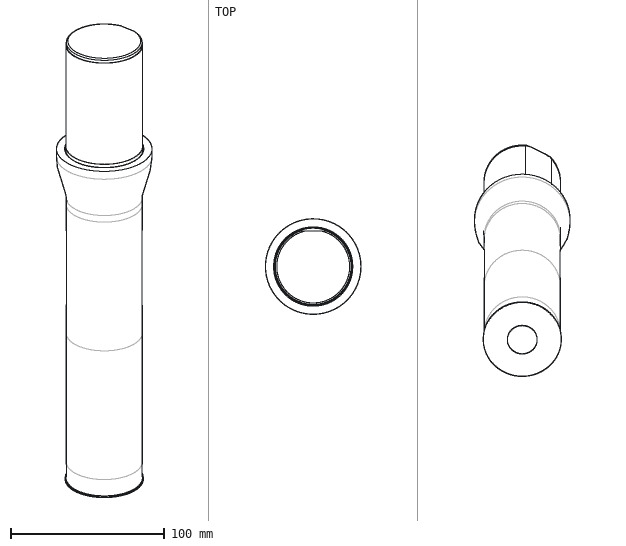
import cadquery as cq

collar_top = 245.5
collar_band_bottom = 239.5
flare_bottom = 209.3
neck_bottom = 204.5
grip_bottom = 109.2
foot_top = 14.0
flange_top = 2.0
flange_bottom = 1.0

grip_diameter = 49.7
collar_diameter = 62.5
flange_diameter = 51.0
boss_diameter = 19.5
waist_inset = 0.15
flare_upper_point = (29.5, 228.0)
flare_lower_point = (25.7, 214.5)
socket_chamfer = 0.5

shank_top = 325.0
shank_diameter = 50.0
base_ring_diameter = 50.5
base_ring_top = 247.3
tip_diameter = 49.5
tip_bottom = 322.0
tip_chamfer = 1.0
flat_bottom = 249.3
flat_offset = 23.0
shank_bottom = collar_band_bottom


def cylinder(diameter, bottom, top):
    """Vertical cylinder on the Z axis between two heights."""
    return cq.Workplane("XY", origin=(0, 0, bottom)).circle(diameter / 2).extrude(top - bottom)


def make_handle():
    """Turned grip with a bell-shaped collar, a slim foot and a socket for the shank."""
    grip_radius = grip_diameter / 2
    waist_radius = grip_radius - waist_inset
    collar_radius = collar_diameter / 2
    flange_radius = flange_diameter / 2
    boss_radius = boss_diameter / 2
    socket_radius = base_ring_diameter / 2
    profile = (
        cq.Workplane("XZ")
        .lineTo(boss_radius, 0)
        .lineTo(boss_radius, flange_bottom)
        .lineTo(flange_radius, flange_bottom)
        .lineTo(flange_radius, flange_top)
        .lineTo(grip_radius, flange_top)
        .threePointArc((waist_radius, (foot_top + flange_top) / 2), (grip_radius, foot_top))
        .lineTo(grip_radius, grip_bottom)
        .threePointArc((waist_radius, (grip_bottom + neck_bottom) / 2), (grip_radius, neck_bottom))
        .lineTo(grip_radius, flare_bottom)
        .spline(
            [flare_lower_point, flare_upper_point, (collar_radius, collar_band_bottom)],
            tangents=[(0, 1), (0, 1)],
            includeCurrent=True,
        )
        .lineTo(collar_radius, collar_top)
        .lineTo(socket_radius + socket_chamfer, collar_top)
        .lineTo(socket_radius, collar_top - socket_chamfer)
        .lineTo(socket_radius, shank_bottom)
        .lineTo(0, shank_bottom)
        .close()
    )
    return profile.revolve(360, (0, 0, 0), (0, 1, 0))


def make_shank():
    """Cylinder with a base ring, a chamfered tip and a flat above the base."""
    base_ring = cylinder(base_ring_diameter, shank_bottom, base_ring_top)
    column = cylinder(shank_diameter, base_ring_top, tip_bottom)
    tip = cylinder(tip_diameter, tip_bottom, shank_top).faces(">Z").edges().chamfer(tip_chamfer)
    flat_cut = (
        cq.Workplane("XY", origin=(0, flat_offset, flat_bottom))
        .box(
            shank_diameter,
            shank_diameter,
            shank_top - flat_bottom,
            centered=(True, False, False),
        )
    )
    return base_ring.union(column).union(tip).cut(flat_cut)


handle = make_handle()
shank = make_shank()
result = cq.Compound.makeCompound([handle.val(), shank.val()])